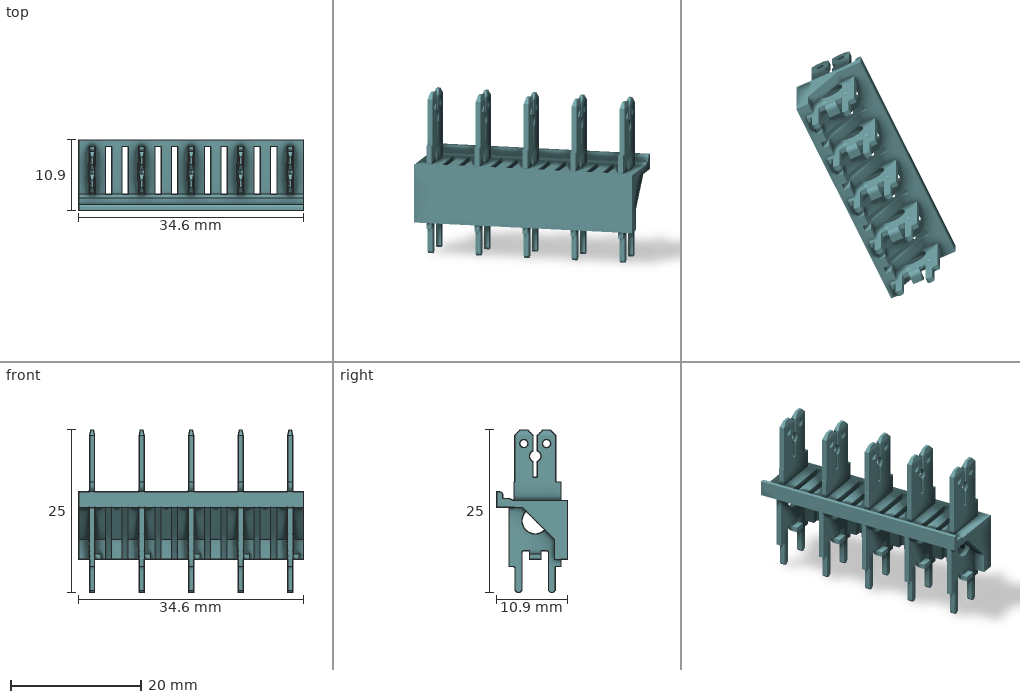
import cadquery as cq


LENGTH = 34.6
BACK_Y = 4.98
DEPTH = 10.9
FRONT_Y = BACK_Y - DEPTH
HOUSING_BOTTOM_Z = -9.05
ARM_BOTTOM_Z = -1.1
LIP_TOP_Z = 1.3
LIP_BACK_Y = -4.98
LIP_RADIUS = 0.5
RAMP_START_Y = -3.35
RAMP_END_Y = -3.98
RAMP_RISE = 0.28
WALL_FRONT_Y = 2.98
GUSSET_RUN = 4.95

TERMINAL_COUNT = 5
TERMINAL_PITCH = 7.6
SLOTS_PER_PITCH = 3
SLOT_WIDTH = 0.95
SLOT_BACK_Y = 3.95

THICKNESS = 0.8
TAB_TOP_Z = 10.83
TAB_HALF_WIDTH = 3.2
PRONG_CHAMFER = 0.85
PRONG_TIP_THICKNESS = 0.4
SHOULDER_Z = 2.85
BACK_EMBED = 0.05
BLADE_BACK_Y = SLOT_BACK_Y + BACK_EMBED
BLADE_FRONT_Y = -3.3
FOOT_FRONT_Y = -4.05
FOOT_TOP_GAP = 0.07
FOOT_TOP_Z = ARM_BOTTOM_Z - FOOT_TOP_GAP
FOOT_BOTTOM_Z = -10.2
FOOT_CORNER_RADIUS = 0.2

TERMINAL_HEIGHT = 25.0
LEG_BOTTOM_Z = TAB_TOP_Z - TERMINAL_HEIGHT
LEG_INNER_Y = 2.0
LEG_OUTER_Y = 3.1
LEG_CHAMFER = 0.35
LEG_ROOT_RADIUS = 0.2
NOTCH_TOP_Z = -7.8
NOTCH_RADIUS = 0.2

SLIT_WIDTH = 0.62
SLIT_BOTTOM_Z = 3.55
RELIEF_DIAMETER = 1.73
RELIEF_Z = 6.78
PRONG_HOLE_DIAMETER = 1.2
PRONG_HOLE_Z = 8.72
WINDOW_DIAMETER = 4.0
WINDOW_Z = -3.15

TONGUE_WIDTH = 1.8
TONGUE_BEND_RADIUS = 0.75
TONGUE_REACH = 0.97
DIMPLE_DIAMETER = 1.07
DIMPLE_HEIGHT = 0.25
DIMPLE_Z = -6.68
DIMPLE_YS = (1.07, -2.53)
LANCE_TOP_Z = 1.87
LANCE_TOP_WIDTH = 2.95
LANCE_BOTTOM_WIDTH = 2.65
LANCE_HEIGHT = 0.28


def box(x_range, y_range, z_range):
    """Box between the given low and high places on each axis."""
    low = (x_range[0], y_range[0], z_range[0])
    size = (x_range[1] - low[0], y_range[1] - low[1], z_range[1] - low[2])
    return cq.Workplane("XY").box(*size, centered=False).translate(low)


def round_edge_along_x(body, y, z, radius):
    """Round the edge parallel to X that lies at the given Y and Z."""
    edge = body.edges("|X").edges(cq.selectors.NearestToPointSelector((0, y, z)))
    return edge.fillet(radius)


def make_housing():
    profile = [
        (BACK_Y, 0),
        (RAMP_START_Y, 0),
        (RAMP_END_Y, RAMP_RISE),
        (LIP_BACK_Y, RAMP_RISE),
        (LIP_BACK_Y, LIP_TOP_Z),
        (FRONT_Y, LIP_TOP_Z),
        (FRONT_Y, ARM_BOTTOM_Z),
        (WALL_FRONT_Y - GUSSET_RUN, ARM_BOTTOM_Z),
        (WALL_FRONT_Y, ARM_BOTTOM_Z - GUSSET_RUN),
        (WALL_FRONT_Y, HOUSING_BOTTOM_Z),
        (BACK_Y, HOUSING_BOTTOM_Z),
    ]
    housing = cq.Workplane("YZ").polyline(profile).close().extrude(LENGTH / 2, both=True)
    housing = round_edge_along_x(housing, LIP_BACK_Y, LIP_TOP_Z, LIP_RADIUS)
    slot_count = (TERMINAL_COUNT - 1) * SLOTS_PER_PITCH + 1
    slot_pitch = TERMINAL_PITCH / SLOTS_PER_PITCH
    for index in range(slot_count):
        slot_x = (index - (slot_count - 1) / 2) * slot_pitch
        slot = box(
            (slot_x - SLOT_WIDTH / 2, slot_x + SLOT_WIDTH / 2),
            (RAMP_START_Y, SLOT_BACK_Y),
            (HOUSING_BOTTOM_Z, 0),
        )
        housing = housing.cut(slot)
    return housing


def plate(points):
    """Sheet of terminal thickness with the given Y-Z outline and its left face at X = 0."""
    return cq.Workplane("YZ").polyline(points).close().extrude(THICKNESS)


def disc_cutter(diameter, y, z):
    return cq.Workplane("YZ").center(y, z).circle(diameter / 2).extrude(THICKNESS)


def make_blade():
    """Flat part of the terminal between the prongs and the legs."""
    blade = plate([
        (BLADE_BACK_Y, SHOULDER_Z),
        (BLADE_FRONT_Y, SHOULDER_Z),
        (BLADE_FRONT_Y, FOOT_TOP_Z),
        (FOOT_FRONT_Y, FOOT_TOP_Z),
        (FOOT_FRONT_Y, FOOT_BOTTOM_Z),
        (BLADE_BACK_Y, FOOT_BOTTOM_Z),
    ])
    blade = round_edge_along_x(blade, FOOT_FRONT_Y, FOOT_TOP_Z, FOOT_CORNER_RADIUS)
    notch = box((0, THICKNESS), (-LEG_INNER_Y, LEG_INNER_Y), (FOOT_BOTTOM_Z, NOTCH_TOP_Z))
    notch = notch.edges("|X and >Z").fillet(NOTCH_RADIUS)
    return blade.cut(notch).cut(disc_cutter(WINDOW_DIAMETER, 0, WINDOW_Z))


def make_tab():
    """Pair of prongs with chamfered tips, thinned towards the top."""
    bevel_z = TAB_TOP_Z - PRONG_CHAMFER
    slit = SLIT_WIDTH / 2
    tab = cq.Workplane("YZ")
    for side in (-1, 1):
        prong = plate([
            (side * slit, SHOULDER_Z),
            (side * slit, bevel_z),
            (side * (slit + PRONG_CHAMFER), TAB_TOP_Z),
            (side * (TAB_HALF_WIDTH - PRONG_CHAMFER), TAB_TOP_Z),
            (side * TAB_HALF_WIDTH, bevel_z),
            (side * TAB_HALF_WIDTH, SHOULDER_Z),
        ])
        hole = disc_cutter(PRONG_HOLE_DIAMETER, side * (slit + TAB_HALF_WIDTH) / 2, PRONG_HOLE_Z)
        tab = tab.add(prong.cut(hole))
    tab = tab.combine()
    root = box((0, THICKNESS), (-TAB_HALF_WIDTH, TAB_HALF_WIDTH), (SHOULDER_Z, SLIT_BOTTOM_Z))
    tab = tab.union(root).cut(disc_cutter(RELIEF_DIAMETER, 0, RELIEF_Z))

    tip_inset = (THICKNESS - PRONG_TIP_THICKNESS) / 2
    envelope = (
        cq.Workplane("XZ")
        .polyline([
            (0, SHOULDER_Z),
            (0, bevel_z),
            (tip_inset, TAB_TOP_Z),
            (THICKNESS - tip_inset, TAB_TOP_Z),
            (THICKNESS, bevel_z),
            (THICKNESS, SHOULDER_Z),
        ])
        .close()
        .extrude(TAB_HALF_WIDTH, both=True)
    )
    return tab.intersect(envelope)


def make_leg(side):
    leg = box((0, THICKNESS), (LEG_INNER_Y, LEG_OUTER_Y), (LEG_BOTTOM_Z, FOOT_BOTTOM_Z))
    leg = leg.edges("|X and <Z").chamfer(LEG_CHAMFER)
    return leg if side > 0 else leg.mirror("XZ")


def make_tongue():
    """Tongue bent through a right angle towards +X, with its outer bend rounded."""
    across = (-TONGUE_WIDTH / 2, TONGUE_WIDTH / 2)
    upright = box((0, THICKNESS), across, (HOUSING_BOTTOM_Z, NOTCH_TOP_Z))
    upright = upright.edges("|Y and <X and <Z").fillet(TONGUE_BEND_RADIUS)
    flange = box(
        (THICKNESS, THICKNESS + TONGUE_REACH),
        across,
        (HOUSING_BOTTOM_Z, HOUSING_BOTTOM_Z + THICKNESS),
    )
    return upright.union(flange)


def make_dimple(y):
    """Shallow spherical bump on the left face."""
    radius = (DIMPLE_DIAMETER**2 / 4 + DIMPLE_HEIGHT**2) / (2 * DIMPLE_HEIGHT)
    ball = cq.Workplane("XY").sphere(radius).translate((radius - DIMPLE_HEIGHT, y, DIMPLE_Z))
    cap_bounds = box(
        (-DIMPLE_HEIGHT, THICKNESS / 2),
        (y - radius, y + radius),
        (DIMPLE_Z - radius, DIMPLE_Z + radius),
    )
    return ball.intersect(cap_bounds)


def make_lance():
    """Retaining wedge that leans out from the left face down to the housing top."""
    wedge = (
        cq.Workplane("XZ")
        .polyline([(0, LANCE_TOP_Z), (-LANCE_HEIGHT, 0), (0, 0)])
        .close()
        .extrude(LANCE_TOP_WIDTH / 2, both=True)
    )
    outline = (
        cq.Workplane("YZ")
        .polyline([
            (-LANCE_TOP_WIDTH / 2, LANCE_TOP_Z),
            (LANCE_TOP_WIDTH / 2, LANCE_TOP_Z),
            (LANCE_BOTTOM_WIDTH / 2, 0),
            (-LANCE_BOTTOM_WIDTH / 2, 0),
        ])
        .close()
        .extrude(LANCE_HEIGHT, both=True)
    )
    return wedge.intersect(outline)


def make_terminal():
    terminal = make_blade().union(make_tab())
    for side in (-1, 1):
        terminal = terminal.union(make_leg(side))
    terminal = round_edge_along_x(terminal, -LEG_OUTER_Y, FOOT_BOTTOM_Z, LEG_ROOT_RADIUS)
    terminal = terminal.union(make_tongue())
    for y in DIMPLE_YS:
        terminal = terminal.union(make_dimple(y))
    return terminal.union(make_lance())


result = make_housing()
blank_terminal = make_terminal()
for index in range(TERMINAL_COUNT):
    slot_center = (index - (TERMINAL_COUNT - 1) / 2) * TERMINAL_PITCH
    terminal_x = slot_center - THICKNESS / 2
    result = result.union(blank_terminal.translate((terminal_x, 0, 0)))